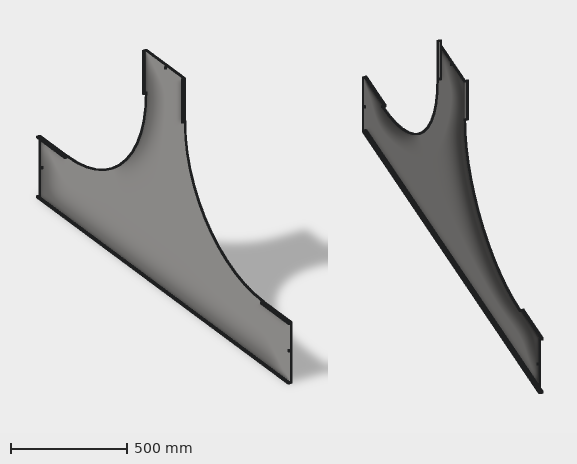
import cadquery as cq
import math

length = 1934.0
height = 1118.0
depth = 15.7

sheet = 2.0
channel_width = 300.0
sweep_radius = 600.0

flange_length = 213.0
bend_radius = 2.3
lip_reach = 4.0
lip_drop = 4.0

hole_diameter = 5.0
hole_inset = 17.0

half_length = length / 2
half_channel = channel_width / 2
sweep_end_x = half_channel + sweep_radius
sweep_end_z = channel_width + sweep_radius


def make_plate():
    """Flat T-shaped sheet with its back at Y = 0 and its two inner corners swept by arcs."""
    to_middle = sweep_radius * (1 - math.sqrt(0.5))
    middle_x = half_channel + to_middle
    middle_z = channel_width + to_middle
    return (
        cq.Workplane("XZ")
        .moveTo(-half_length, 0)
        .lineTo(half_length, 0)
        .lineTo(half_length, channel_width)
        .lineTo(sweep_end_x, channel_width)
        .threePointArc((middle_x, middle_z), (half_channel, sweep_end_z))
        .lineTo(half_channel, height)
        .lineTo(-half_channel, height)
        .lineTo(-half_channel, sweep_end_z)
        .threePointArc((-middle_x, middle_z), (-sweep_end_x, channel_width))
        .lineTo(-half_length, channel_width)
        .close()
        .extrude(sheet)
    )


def make_flange(plane, run):
    """Bend, web and folded-back lip; local x points into the plate and local y points forward."""
    inner_bend = bend_radius - sheet
    lip_tip = depth - lip_drop
    return (
        cq.Workplane(plane)
        .moveTo(bend_radius, 0)
        .radiusArc((0, bend_radius), bend_radius)
        .lineTo(0, depth)
        .lineTo(sheet, depth)
        .lineTo(lip_reach, lip_tip + sheet)
        .lineTo(lip_reach, lip_tip)
        .lineTo(sheet, depth - sheet)
        .lineTo(sheet, bend_radius)
        .radiusArc((bend_radius, sheet), -inner_bend)
        .close()
        .extrude(run)
    )


def make_edge_strip(plane, run):
    """Flat edge of the plate that the bend of a flange takes the place of."""
    return cq.Workplane(plane).rect(bend_radius, sheet, centered=False).extrude(run)


def make_holes():
    centers = [
        (-half_length + hole_inset, half_channel),
        (half_length - hole_inset, half_channel),
        (0, height - hole_inset),
    ]
    return cq.Workplane("XZ").pushPoints(centers).circle(hole_diameter / 2).extrude(sheet)


flanges = [
    ((-half_length, 0, 0), (0, 0, 1), (1, 0, 0), length),
    ((half_length, 0, channel_width), (0, 0, -1), (-1, 0, 0), flange_length),
    ((flange_length - half_length, 0, channel_width), (0, 0, -1), (-1, 0, 0), flange_length),
    ((-half_channel, 0, height), (1, 0, 0), (0, 0, -1), flange_length),
    ((half_channel, 0, height - flange_length), (-1, 0, 0), (0, 0, 1), flange_length),
]

result = make_plate().cut(make_holes())
for corner, inward, along, run in flanges:
    plane = cq.Plane(origin=corner, xDir=inward, normal=along)
    result = result.cut(make_edge_strip(plane, run)).union(make_flange(plane, run))